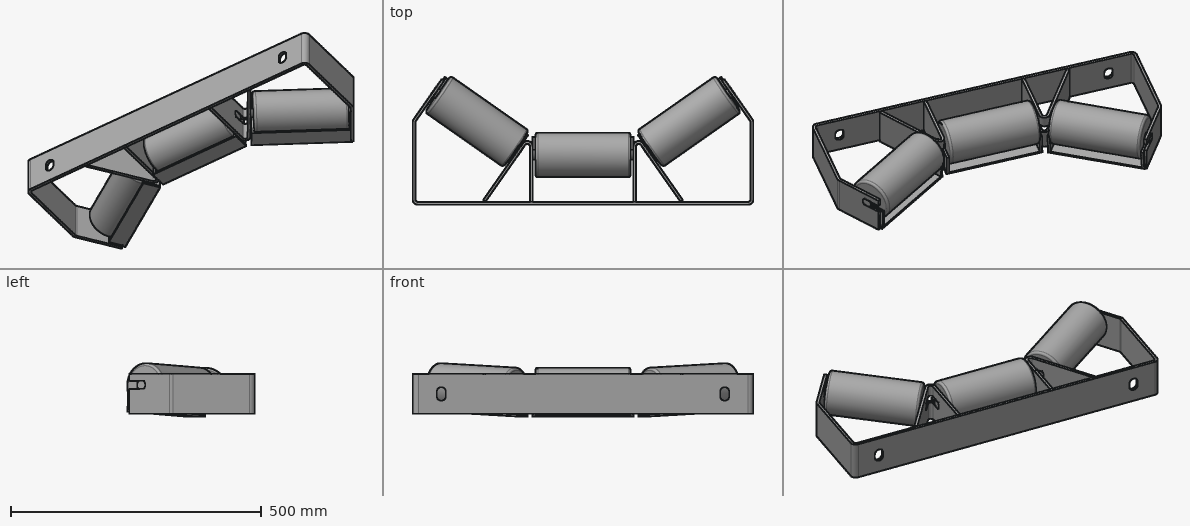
import cadquery as cq
import math


bar_height = 80.0
bar_thickness = 6.0
bend_radius = 11.0
bend_inner_radius = bend_radius - bar_thickness

frame_width = 680.0
trough_angle = 35.0
tilt_angle = 2.75
plate_gap = 200.0
axis_y = 99.55
axis_z = 48.0
bracket_bend_y = 116.5

roller_diameter = 89.0
roller_length = 190.0
roller_fillet = 5.0
shaft_diameter = 20.0
shaft_flats = 16.0

guard_depth = 53.33
guard_width = 36.0
guard_length = 202.0
guard_thickness = 4.0
guard_wall_top = -9.0

arm_tip = 29.0
mount_hole_x = 282.5
mount_hole_width = 18.0
mount_hole_height = 27.0

cos_trough = math.cos(math.radians(trough_angle))
sin_trough = math.sin(math.radians(trough_angle))
outward = cq.Vector(-cos_trough, sin_trough, 0)
upslope = cq.Vector(sin_trough, cos_trough, 0)

bracket_bend = cq.Vector(-plate_gap / 2 - bend_radius, bracket_bend_y, 0)
slot_depth = bracket_bend_y - axis_y
side_start = bracket_bend + outward * bend_radius - upslope * slot_depth
side_center = side_start + outward * (plate_gap / 2)
side_rise = plate_gap / 2 * math.tan(math.radians(tilt_angle))


def flat(point):
    """X and Y of a point."""
    return (point.x, point.y)


def mirrored(body):
    """Right-hand copy of a left-hand body."""
    return body.mirror("YZ")


def place_left(body):
    """Move a body from the origin, along X, to the left side roller position."""
    tilted = body.rotate((0, 0, 0), (0, 1, 0), tilt_angle)
    turned = tilted.rotate((0, 0, 0), (0, 0, 1), -trough_angle)
    return turned.translate(side_center + cq.Vector(0, 0, axis_z + side_rise))


def place_center(body):
    """Move a body from the origin, along X, to the centre roller position."""
    return body.translate((0, axis_y, axis_z))


def rod(diameter, length):
    """Cylinder along X, centred on the origin."""
    return cq.Workplane("YZ").workplane(offset=-length / 2).circle(diameter / 2).extrude(length)


def shaft_profile(length):
    """Round shaft with flats at top and bottom, centred on the origin along X."""
    shaft = rod(shaft_diameter, length)
    return shaft.intersect(cq.Workplane("XY").box(length, shaft_diameter, shaft_flats))


def shaft_slots():
    """Cutter for the slots that take a shaft: its own section, open towards +Y."""
    length = plate_gap + 4 * bar_thickness
    opening_width = 2 * shaft_diameter
    opening = cq.Workplane("XY").box(length, opening_width, shaft_flats)
    return shaft_profile(length).union(opening.translate((0, opening_width / 2, 0)))


def guard_panel(length, height, x):
    """Block standing on the guard underside, reaching from the roller axis towards +Y."""
    panel = cq.Workplane("XY").box(length, guard_width, height, centered=(True, False, False))
    return panel.translate((x, 0, -guard_depth))


def make_guard():
    """Floor below the roller, with an end wall up to the shaft at each end."""
    guard = guard_panel(guard_length, guard_thickness, 0)
    wall_thickness = (plate_gap - roller_length) / 2
    wall_height = guard_depth + guard_wall_top
    for side in (-1, 1):
        wall_x = side * (roller_length + wall_thickness) / 2
        guard = guard.union(guard_panel(wall_thickness, wall_height, wall_x))
    return guard


def make_roller():
    """Roller, shaft and guard as one body, centred on the origin along X."""
    shell = rod(roller_diameter, roller_length)
    shell = shell.faces("<X or >X").edges().fillet(roller_fillet)
    neck = rod(shaft_diameter, plate_gap)
    shaft = shaft_profile(plate_gap + 2 * bar_thickness)
    return shell.union(neck).union(shaft).union(make_guard())


def make_bracket():
    """Left bracket: an upright leg, a bend and a sloping leg that reaches the frame base."""
    right = cq.Vector(1, 0, 0)
    top = (right + outward).normalized()
    slope_outer = bracket_bend + outward * bend_radius
    slope_inner = bracket_bend + outward * bend_inner_radius
    slope_length = (slope_inner.y - bar_thickness) / cos_trough
    foot_inner = slope_inner - upslope * slope_length
    foot_outer = foot_inner + outward * bar_thickness
    leg_outer = bracket_bend + right * bend_radius
    leg_inner = bracket_bend + right * bend_inner_radius
    outline = (
        cq.Workplane("XY")
        .moveTo(leg_inner.x, bar_thickness)
        .lineTo(leg_outer.x, bar_thickness)
        .lineTo(*flat(leg_outer))
        .threePointArc(flat(bracket_bend + top * bend_radius), flat(slope_outer))
        .lineTo(*flat(foot_outer))
        .lineTo(*flat(foot_inner))
        .lineTo(*flat(slope_inner))
        .threePointArc(flat(bracket_bend + top * bend_inner_radius), flat(leg_inner))
    )
    bracket = outline.close().extrude(bar_height)
    return bracket.cut(place_left(shaft_slots())).cut(place_center(shaft_slots()))


def make_frame():
    """Base, two side walls and two sloping arms, bent from one flat bar."""
    tip_outer = side_start + outward * (plate_gap + bar_thickness) + upslope * arm_tip
    tip_inner = tip_outer - outward * bar_thickness
    wall_outer_x = -frame_width / 2
    wall_inner_x = wall_outer_x + bar_thickness
    arm_slope = cos_trough / sin_trough
    corner_outer_y = tip_outer.y - (tip_outer.x - wall_outer_x) * arm_slope
    corner_inner_y = tip_inner.y - (tip_inner.x - wall_inner_x) * arm_slope

    outer_bends = [(wall_outer_x, 0), (wall_outer_x, corner_outer_y)]
    inner_bends = [(wall_inner_x, corner_inner_y), (wall_inner_x, bar_thickness)]
    arm_end = [flat(tip_outer), flat(tip_inner)]
    outline = [(0, 0), *outer_bends, *arm_end, *inner_bends, (0, bar_thickness)]
    half = cq.Workplane("XY").polyline(outline).close().extrude(bar_height)

    def bend_edge(x, y):
        return cq.selectors.NearestToPointSelector((x, y, bar_height / 2))

    for x, y in outer_bends:
        half = half.edges(bend_edge(x, y)).fillet(bend_radius)
    for x, y in inner_bends:
        half = half.edges(bend_edge(x, y)).fillet(bend_inner_radius)

    mount_hole = (
        cq.Workplane("XZ")
        .center(-mount_hole_x, bar_height / 2)
        .slot2D(mount_hole_height, mount_hole_width, 90)
        .extrude(-bar_thickness)
    )
    half = half.cut(mount_hole).cut(place_left(shaft_slots()))
    return half.union(mirrored(half))


frame = make_frame()
left_bracket = make_bracket()
brackets = [left_bracket, mirrored(left_bracket)]

center_roller = place_center(make_roller())
left_roller = place_left(make_roller()).cut(frame).cut(left_bracket)
rollers = [center_roller, left_roller, mirrored(left_roller)]

result = cq.Compound.makeCompound([body.val() for body in [frame, *brackets, *rollers]])